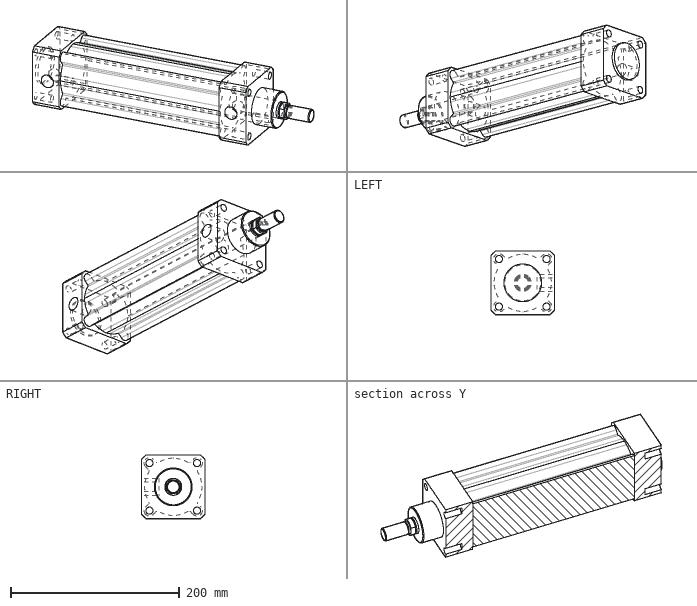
import cadquery as cq
import math


overall_length = 354.0
rear_cap_start = 3.5
cap_thickness = 35.5
front_cap_start = 250.0
collar_end = 312.0
wrench_start = 315.5
wrench_end = 321.5
thread_start = 323.5
rear_cap_end = rear_cap_start + cap_thickness
front_cap_end = front_cap_start + cap_thickness

cap_width = 76.0
cap_corner_radius = 50.0
pilot_diameter = 45.0
collar_chamfer = 1.0
bolt_spacing = 56.5
bolt_diameter = 8.5
bolt_depth = 21.2
port_diameter = 16.0
port_depth = 21.2
port_inset = 20.0
port_offset = 2.0

barrel_radius = 34.0
ridge_angle = 10.0
lobe_angle = 45.0
lobe_radius = 6.5
lobe_fillet = 1.8
lobe_distance = bolt_spacing / math.sqrt(2)

rod_diameter = 20.2
rod_chamfer = 1.0
flat_width = 17.0
thread_diameter = 16.0
thread_chamfer = 1.0


def bar_along_x(start, end, diameter):
    """Round bar on the X axis between two stations."""
    return cq.Workplane("YZ").workplane(offset=start).circle(diameter / 2).extrude(end - start)


def make_cap_block(start):
    """Square block whose four corners are turned to a round about the X axis."""
    block = (
        cq.Workplane("YZ")
        .workplane(offset=start)
        .rect(cap_width, cap_width)
        .extrude(cap_thickness)
    )
    return block.intersect(bar_along_x(start, start + cap_thickness, 2 * cap_corner_radius))


def cut_bolt_holes(cap, outer_face):
    """Blind bolt hole at each corner of the cap's outer face."""
    return (
        cap.faces(outer_face)
        .workplane(origin=(0, 0, 0))
        .rect(bolt_spacing, bolt_spacing, forConstruction=True)
        .vertices()
        .hole(bolt_diameter, bolt_depth)
    )


def cut_port(cap, x, z):
    """Blind air port in the -Y side of a cap."""
    port = (
        cq.Workplane("XZ", origin=(x, -cap_width / 2, z))
        .circle(port_diameter / 2)
        .extrude(-port_depth)
    )
    return cap.cut(port)


def make_rear_cap():
    """Rear cap with its short pilot boss."""
    cap = cut_bolt_holes(make_cap_block(rear_cap_start), "<X")
    cap = cap.union(bar_along_x(0, rear_cap_start, pilot_diameter))
    return cut_port(cap, rear_cap_start + port_inset, -port_offset)


def make_front_cap():
    """Front cap with its long collar, bored through for the rod."""
    cap = cut_bolt_holes(make_cap_block(front_cap_start), ">X")
    collar = bar_along_x(front_cap_end, collar_end, pilot_diameter)
    cap = cap.union(collar.faces(">X").chamfer(collar_chamfer))
    cap = cap.cut(bar_along_x(front_cap_start, collar_end, rod_diameter))
    return cut_port(cap, front_cap_end - port_inset, port_offset)


def polar(radius, degrees):
    """Point at a distance from the origin and an angle from the first sketch axis."""
    angle = math.radians(degrees)
    return cq.Vector(radius * math.cos(angle), radius * math.sin(angle))


def mirrored(point):
    """Point mirrored across the lobe's 45 degree centre line."""
    return cq.Vector(point.y, point.x)


def turned(point, degrees):
    """Sketch coordinates of a point turned about the origin."""
    angle = math.radians(degrees)
    return (
        point.x * math.cos(angle) - point.y * math.sin(angle),
        point.x * math.sin(angle) + point.y * math.cos(angle),
    )


def make_barrel():
    """Round barrel with a low ridge along each side and a stemmed round lobe along each corner."""
    crest = polar(barrel_radius / math.cos(math.radians(ridge_angle)), 0)
    ridge_foot = polar(barrel_radius, ridge_angle)

    fillet_distance = barrel_radius + lobe_fillet
    fillet_offset = math.degrees(math.asin((lobe_radius + lobe_fillet) / fillet_distance))
    fillet_angle = lobe_angle - fillet_offset
    fillet_centre = polar(fillet_distance, fillet_angle)
    to_barrel = fillet_angle + 180
    to_stem = lobe_angle + 90
    barrel_middle = polar(barrel_radius, (ridge_angle + fillet_angle) / 2)
    barrel_end = polar(barrel_radius, fillet_angle)
    fillet_middle = fillet_centre + polar(lobe_fillet, (to_barrel + to_stem) / 2)
    stem_start = fillet_centre + polar(lobe_fillet, to_stem)

    stem_end = polar(lobe_distance, lobe_angle) + polar(lobe_radius, lobe_angle - 90)
    lobe_tip = polar(lobe_distance + lobe_radius, lobe_angle)

    profile = cq.Workplane("YZ").workplane(offset=rear_cap_end).moveTo(crest.x, crest.y)
    for quarter in range(4):
        turn = 90 * quarter
        profile = (
            profile.lineTo(*turned(ridge_foot, turn))
            .threePointArc(turned(barrel_middle, turn), turned(barrel_end, turn))
            .threePointArc(turned(fillet_middle, turn), turned(stem_start, turn))
            .lineTo(*turned(stem_end, turn))
            .threePointArc(turned(lobe_tip, turn), turned(mirrored(stem_end), turn))
            .lineTo(*turned(mirrored(stem_start), turn))
            .threePointArc(turned(mirrored(fillet_middle), turn), turned(mirrored(barrel_end), turn))
            .threePointArc(turned(mirrored(barrel_middle), turn), turned(mirrored(ridge_foot), turn))
            .lineTo(*turned(mirrored(crest), turn))
        )
    return profile.close().extrude(front_cap_start - rear_cap_end)


def make_rod():
    """Rod through the front cap, with a two-flat wrench section, a neck and a threaded end."""
    shaft = bar_along_x(front_cap_start, wrench_start, rod_diameter).faces(">X").chamfer(rod_chamfer)

    wrench_length = wrench_end - wrench_start
    flats = cq.Workplane("XY").box(wrench_length, flat_width, rod_diameter, centered=(False, True, True))
    wrench_section = bar_along_x(wrench_start, wrench_end, rod_diameter).intersect(
        flats.translate((wrench_start, 0, 0))
    )

    neck = bar_along_x(wrench_end, thread_start, thread_diameter)
    thread = bar_along_x(thread_start, overall_length, thread_diameter)
    thread = thread.faces("<X or >X").chamfer(thread_chamfer)
    return shaft.union(wrench_section).union(neck).union(thread)


rear_cap = make_rear_cap()
barrel = make_barrel()
front_cap = make_front_cap()
rod = make_rod()

result = cq.Compound.makeCompound([body.solids().val() for body in (rear_cap, barrel, front_cap, rod)])